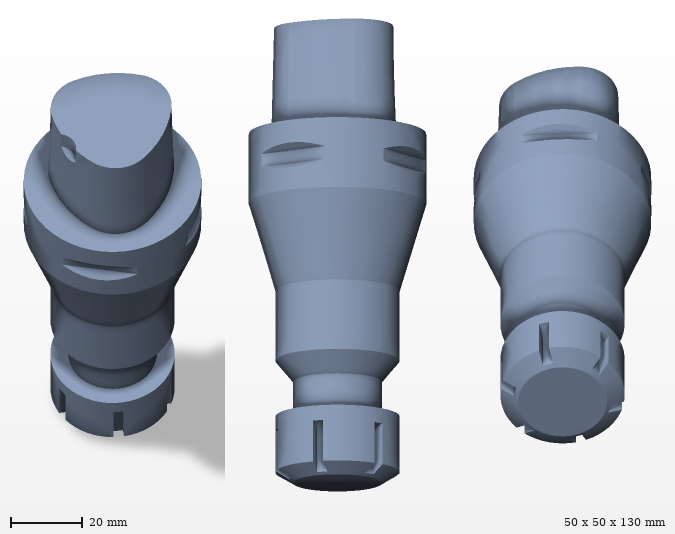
import cadquery as cq
import math


FLANGE_DIA = 50.0
BODY_DIA = 35.0
NECK_DIA = 25.0
NUT_DIA = 35.0
NUT_END_DIA = 25.0
FLANGE_LENGTH = 20.0
CONE_LENGTH = 25.0
BODY_LENGTH = 20.0
SHOULDER_LENGTH = 6.0
NECK_LENGTH = 10.0
NUT_LENGTH = 19.0
NUT_CHAMFER_LENGTH = 3.0

LOBE_COUNT = 3
LOBE_PITCH = 360 / LOBE_COUNT
FIRST_LOBE_ANGLE = 90.0
LOBE_REACH = 18.7
FLANK_REACH = 16.1
LOBE_RADIUS = 11.4
SHANK_LENGTH = 30.0
SHANK_STRAIGHT = 3.0
SHANK_TAPER = math.degrees(math.atan(1 / 40))

NOTCH_DIA = 10.0
NOTCH_INNER_Y = -13.8
NOTCH_DEPTH = 5.5
NOTCH_POINT_ANGLE = 90.0

POCKET_COUNT = 4
POCKET_FIRST_ANGLE = 45.0
POCKET_FLOOR_RADIUS = 22.6
POCKET_FLOOR_HEIGHT = 3.5
POCKET_WALL_ANGLE = 36.0
POCKET_Z = -FLANGE_LENGTH / 2

SLOT_COUNT = 6
SLOT_FIRST_ANGLE = -90.0
SLOT_WIDTH = 3.0
SLOT_FLOOR_RADIUS = 13.6
SLOT_TOP_GAP = 4.3
SLOT_ROOF_RADIUS = 4.0

CUT_MARGIN = 3.0

CONE_TOP_Z = -FLANGE_LENGTH
BODY_TOP_Z = CONE_TOP_Z - CONE_LENGTH
SHOULDER_TOP_Z = BODY_TOP_Z - BODY_LENGTH
NECK_TOP_Z = SHOULDER_TOP_Z - SHOULDER_LENGTH
NUT_TOP_Z = NECK_TOP_Z - NECK_LENGTH
BOTTOM_Z = NUT_TOP_Z - NUT_LENGTH


def make_body():
    """Flange, cone, cylinder, neck and nut as one turned profile (radius, Z)."""
    profile = [
        (0, 0),
        (FLANGE_DIA / 2, 0),
        (FLANGE_DIA / 2, CONE_TOP_Z),
        (BODY_DIA / 2, BODY_TOP_Z),
        (BODY_DIA / 2, SHOULDER_TOP_Z),
        (NECK_DIA / 2, NECK_TOP_Z),
        (NECK_DIA / 2, NUT_TOP_Z),
        (NUT_DIA / 2, NUT_TOP_Z),
        (NUT_DIA / 2, BOTTOM_Z + NUT_CHAMFER_LENGTH),
        (NUT_END_DIA / 2, BOTTOM_Z),
        (0, BOTTOM_Z),
    ]
    return cq.Workplane("XZ").polyline(profile).close().revolve(360, (0, 0), (0, 1))


def polar(radius, angle, center=(0, 0)):
    """Point at a radius and an angle in degrees from a center."""
    turn = math.radians(angle)
    return (center[0] + radius * math.cos(turn), center[1] + radius * math.sin(turn))


def polygon_outline(plane):
    """Closed three-lobed outline with one lobe pointing to +Y."""
    lobe_offset = LOBE_REACH - LOBE_RADIUS
    half_pitch = LOBE_PITCH / 2
    gap = FLANK_REACH - LOBE_RADIUS
    flank_offset = (lobe_offset**2 - gap**2) / (2 * gap - lobe_offset)
    tangent_x, tangent_y = polar(lobe_offset, half_pitch)
    flank_half_angle = math.degrees(math.atan2(tangent_y, flank_offset + tangent_x))
    lobe_half_angle = half_pitch - flank_half_angle

    def lobe_point(lobe_angle, turn):
        """Point on a lobe arc, turned from the lobe's crest about the arc's center."""
        return polar(LOBE_RADIUS, lobe_angle + turn, polar(lobe_offset, lobe_angle))

    outline = plane.moveTo(*lobe_point(FIRST_LOBE_ANGLE, -lobe_half_angle))
    for index in range(LOBE_COUNT):
        lobe_angle = FIRST_LOBE_ANGLE + LOBE_PITCH * index
        lobe_end = lobe_point(lobe_angle, lobe_half_angle)
        flank_end = lobe_point(lobe_angle + LOBE_PITCH, -lobe_half_angle)
        outline = outline.threePointArc(polar(LOBE_REACH, lobe_angle), lobe_end)
        outline = outline.threePointArc(polar(FLANK_REACH, lobe_angle + half_pitch), flank_end)
    return outline.close()


def make_shank():
    """Straight polygon collar with the tapered polygon above it."""
    collar = polygon_outline(cq.Workplane("XY")).extrude(SHANK_STRAIGHT)
    taper_plane = cq.Workplane("XY", origin=(0, 0, SHANK_STRAIGHT))
    taper = polygon_outline(taper_plane).extrude(SHANK_LENGTH - SHANK_STRAIGHT, taper=SHANK_TAPER)
    return collar.union(taper)


def make_notch():
    """Drill with a conical point, leaning with the taper and breaking out of the -Y flank."""
    radius = NOTCH_DIA / 2
    rim_z = SHANK_LENGTH - NOTCH_DEPTH
    tip_z = rim_z - radius / math.tan(math.radians(NOTCH_POINT_ANGLE / 2))
    top_z = SHANK_LENGTH + CUT_MARGIN
    profile = [(0, tip_z), (radius, rim_z), (radius, top_z), (0, top_z)]
    drill = cq.Workplane("XZ").polyline(profile).close().revolve(360, (0, 0), (0, 1))
    drill = drill.translate((0, NOTCH_INNER_Y - radius, 0))
    pivot = (0, NOTCH_INNER_Y, SHANK_LENGTH)
    return drill.rotate(pivot, (1, NOTCH_INNER_Y, SHANK_LENGTH), -SHANK_TAPER)


def make_pocket():
    """Straight trapezoidal groove across the flange on the +X side."""
    outer_radius = FLANGE_DIA / 2 + CUT_MARGIN
    floor_half = POCKET_FLOOR_HEIGHT / 2
    flare = (outer_radius - POCKET_FLOOR_RADIUS) * math.tan(math.radians(POCKET_WALL_ANGLE))
    profile = [
        (POCKET_FLOOR_RADIUS, POCKET_Z - floor_half),
        (outer_radius, POCKET_Z - floor_half - flare),
        (outer_radius, POCKET_Z + floor_half + flare),
        (POCKET_FLOOR_RADIUS, POCKET_Z + floor_half),
    ]
    return cq.Workplane("XZ").polyline(profile).close().extrude(FLANGE_DIA / 2, both=True)


def make_slot():
    """Spanner slot on the +X side, its floor curving out into the roof."""
    roof_z = NUT_TOP_Z - SLOT_TOP_GAP
    outer_radius = SLOT_FLOOR_RADIUS + SLOT_ROOF_RADIUS
    return (
        cq.Workplane("XZ")
        .moveTo(SLOT_FLOOR_RADIUS, BOTTOM_Z - CUT_MARGIN)
        .lineTo(outer_radius, BOTTOM_Z - CUT_MARGIN)
        .lineTo(outer_radius, roof_z)
        .radiusArc((SLOT_FLOOR_RADIUS, roof_z - SLOT_ROOF_RADIUS), -SLOT_ROOF_RADIUS)
        .close()
        .extrude(SLOT_WIDTH / 2, both=True)
    )


def cut_around(part, cutter, count, first_angle):
    """Cut evenly spaced copies of a +X side cutter around the Z axis."""
    for index in range(count):
        angle = first_angle + index * 360 / count
        part = part.cut(cutter.rotate((0, 0, 0), (0, 0, 1), angle))
    return part


result = make_body().union(make_shank())
result = result.cut(make_notch())
result = cut_around(result, make_pocket(), POCKET_COUNT, POCKET_FIRST_ANGLE)
result = cut_around(result, make_slot(), SLOT_COUNT, SLOT_FIRST_ANGLE)